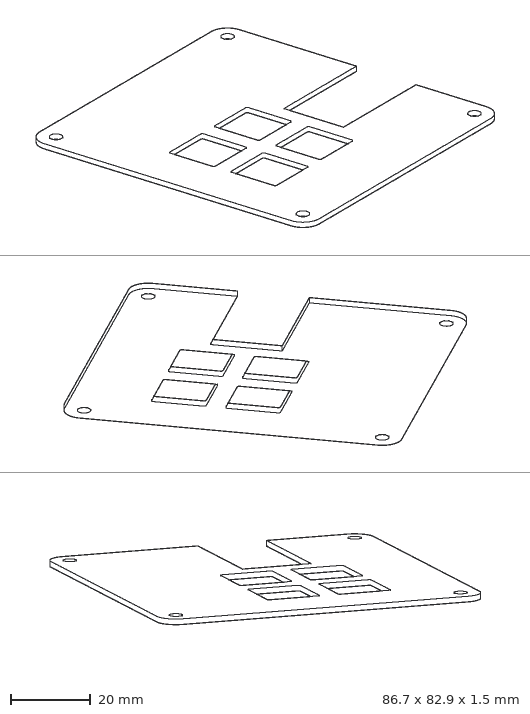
import cadquery as cq

PLATE_LENGTH = 86.7
PLATE_WIDTH = 82.9
PLATE_THICKNESS = 1.5
CORNER_RADIUS = 5.0

HOLE_DIAMETER = 3.4
HOLE_INSET = CORNER_RADIUS

NOTCH_WIDTH = 18.5
NOTCH_DEPTH = 30.85
NOTCH_CENTER_X = 7.3

WINDOW_SIZE = 14.0
WINDOW_PITCH = 19.1
WINDOW_CORNER_RADIUS = 0.5
WINDOWS_PER_SIDE = 2
GRID_CENTER_X = 6.6
GRID_CENTER_Y = -10.75


def rounded_block(length, width, radius):
    """Block of plate thickness with rounded vertical edges."""
    block = cq.Workplane("XY").box(length, width, PLATE_THICKNESS, centered=(True, True, False))
    return block.edges("|Z").fillet(radius)


def corner_holes():
    """Four cylinders, one near each corner of the plate."""
    spacing_x = PLATE_LENGTH - 2 * HOLE_INSET
    spacing_y = PLATE_WIDTH - 2 * HOLE_INSET
    return (
        cq.Workplane("XY")
        .rect(spacing_x, spacing_y, forConstruction=True)
        .vertices()
        .circle(HOLE_DIAMETER / 2)
        .extrude(PLATE_THICKNESS)
    )


def edge_notch():
    """Sharp-cornered block reaching in from the +Y edge."""
    notch_center_y = (PLATE_WIDTH - NOTCH_DEPTH) / 2
    return (
        cq.Workplane("XY")
        .center(NOTCH_CENTER_X, notch_center_y)
        .rect(NOTCH_WIDTH, NOTCH_DEPTH)
        .extrude(PLATE_THICKNESS)
    )


def window_positions():
    """Centres of the windows, spread evenly about the grid centre."""
    half_span = WINDOW_PITCH * (WINDOWS_PER_SIDE - 1) / 2
    offsets = [i * WINDOW_PITCH - half_span for i in range(WINDOWS_PER_SIDE)]
    return [(GRID_CENTER_X + dx, GRID_CENTER_Y + dy) for dx in offsets for dy in offsets]


plate = rounded_block(PLATE_LENGTH, PLATE_WIDTH, CORNER_RADIUS)
plate = plate.cut(corner_holes()).cut(edge_notch())

window = rounded_block(WINDOW_SIZE, WINDOW_SIZE, WINDOW_CORNER_RADIUS)
for x, y in window_positions():
    plate = plate.cut(window.translate((x, y, 0)))

result = plate